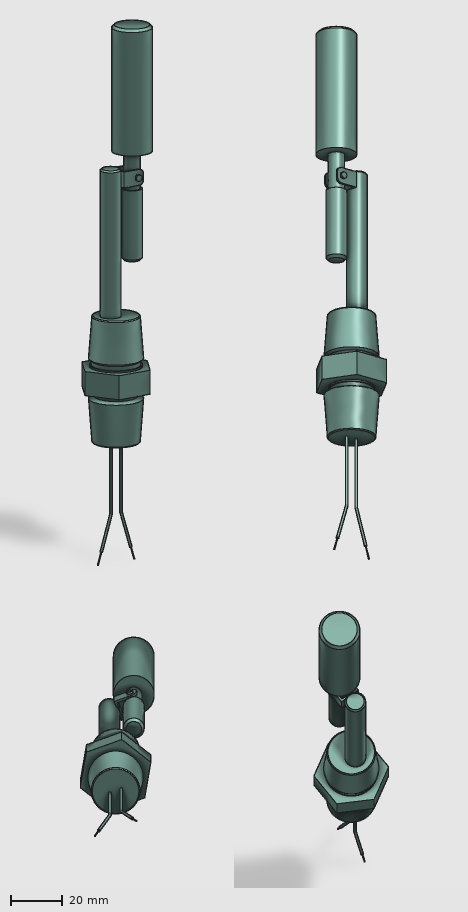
import cadquery as cq
import math

total_height = 216.0

fitting_bottom = 48.5
fitting_top = 99.8
hex_bottom = 69.5
hex_top = 79.3
hex_across_flats = 25.5
thread_end_radius = 9.5
thread_root_radius = 10.8
thread_end_chamfer = 0.5
thread_root_chamfer = 0.9
thread_root_gap = 2.4
upper_neck_radius = 9.7
lower_neck_radius = 8.5
collar_step = 0.6
collar_height = 0.6

stem_radius = 4.0
stem_y = -2.5
stem_top = 159.5
stem_chamfer = 0.6

float_radius = 8.0
float_y = 7.5
float_bottom = 165.0
float_chamfer = 1.0
rod_radius = 3.2
weight_radius = 4.0
weight_bottom = 121.0
weight_top = 150.0
weight_chamfer = 1.0

pin_radius = 1.3
pin_length = 10.0
pin_z = 155.0

bracket_height = 6.5
bracket_front_y = 0.9
bracket_back_y = 10.2
bracket_corner = 2.0
bracket_width = 2 * stem_radius
bracket_thickness = bracket_width / 2 - rod_radius

wire_radius = 0.55
core_radius = 0.2
wire_spacing = 4.8
wire_bend_z = 19.9
wire_spread = 6.3
bare_height = 5.2


def cylinder(radius, y, bottom, top):
    """Vertical cylinder with its axis at X = 0 and the given Y."""
    return cq.Workplane("XY", origin=(0, y, bottom)).circle(radius).extrude(top - bottom)


def make_threaded_side(hex_face_z, end_z, neck_radius):
    """One side of the fitting: collar, neck and tapered thread, from the hexagon to the free end."""
    outward = math.copysign(1, end_z - hex_face_z)
    collar_z = hex_face_z + outward * collar_height
    root_z = hex_face_z + outward * thread_root_gap
    profile = [
        (0, hex_face_z),
        (neck_radius + collar_step, hex_face_z),
        (neck_radius + collar_step, collar_z),
        (neck_radius, collar_z),
        (neck_radius, root_z),
        (thread_root_radius, root_z + outward * thread_root_chamfer),
        (thread_end_radius, end_z - outward * thread_end_chamfer),
        (thread_end_radius - thread_end_chamfer, end_z),
        (0, end_z),
    ]
    return cq.Workplane("XZ").polyline(profile).close().revolve(360, (0, 0, 0), (0, 1, 0))


def make_fitting():
    """Hexagon with a neck and a tapered thread on each side."""
    hex_across_corners = hex_across_flats / math.cos(math.pi / 6)
    hexagon = (
        cq.Workplane("XY", origin=(0, 0, hex_bottom))
        .polygon(6, hex_across_corners)
        .extrude(hex_top - hex_bottom)
        .rotate((0, 0, 0), (0, 0, 1), 30)
    )
    return (
        hexagon
        .union(make_threaded_side(hex_top, fitting_top, upper_neck_radius))
        .union(make_threaded_side(hex_bottom, fitting_bottom, lower_neck_radius))
    )


def make_bracket():
    """U-shaped bracket: a web beside the stem and an ear on each side of the lever."""
    bracket_length = bracket_back_y - bracket_front_y
    bracket = (
        cq.Workplane("XY", origin=(0, (bracket_front_y + bracket_back_y) / 2, pin_z))
        .box(bracket_width, bracket_length, bracket_height)
        .edges("|X and >Y")
        .fillet(bracket_corner)
    )
    slot_width = bracket_width - 2 * bracket_thickness
    slot = (
        cq.Workplane("XY", origin=(0, bracket_front_y + bracket_thickness + bracket_length / 2, pin_z))
        .box(slot_width, bracket_length, bracket_height)
    )
    return bracket.cut(slot)


def make_pin():
    """Pivot pin along X."""
    return (
        cq.Workplane("YZ", origin=(-pin_length / 2, float_y, pin_z))
        .circle(pin_radius)
        .extrude(pin_length)
    )


def make_housing():
    """Fitting, stem and bracket in one piece, bored for the pivot pin."""
    stem = cylinder(stem_radius, stem_y, fitting_top, stem_top).faces(">Z").chamfer(stem_chamfer)
    return make_fitting().union(stem).union(make_bracket()).cut(make_pin())


def make_float():
    """Float, rod and weight in one piece, bored for the pivot pin."""
    head = cylinder(float_radius, float_y, float_bottom, total_height).faces(">Z").chamfer(float_chamfer)
    rod = cylinder(rod_radius, float_y, weight_top, float_bottom)
    weight = cylinder(weight_radius, float_y, weight_bottom, weight_top).faces("<Z").chamfer(weight_chamfer)
    return head.union(rod).union(weight).cut(make_pin())


def make_strand(radius, path_points):
    """Round strand along a path in the YZ plane that starts on the fitting's lower face."""
    path = cq.Workplane("YZ").polyline(path_points)
    start_y = path_points[0][0]
    return (
        cq.Workplane("XY", origin=(0, start_y, fitting_bottom))
        .circle(radius)
        .sweep(path, transition="right")
    )


def make_wire(side):
    """Insulated wire that leaves the fitting and bends towards the given side in Y."""
    start_y = side * wire_spacing / 2
    spread_angle = math.atan2(wire_spread, wire_bend_z)
    core_tip_z = core_radius * math.sin(spread_angle)
    bend = (start_y, wire_bend_z)
    straight = [(start_y, fitting_bottom), bend]

    def point_at(z):
        return (start_y + side * (wire_bend_z - z) * math.tan(spread_angle), z)

    insulation = make_strand(wire_radius, straight + [point_at(bare_height)])
    core = make_strand(core_radius, straight + [point_at(core_tip_z)])
    return insulation.union(core)


housing = make_housing()
float_lever = make_float()
pin = make_pin()
wires = [make_wire(side) for side in (-1, 1)]

result = cq.Compound.makeCompound(
    [housing.val(), float_lever.val(), pin.val(), *[wire.val() for wire in wires]]
)